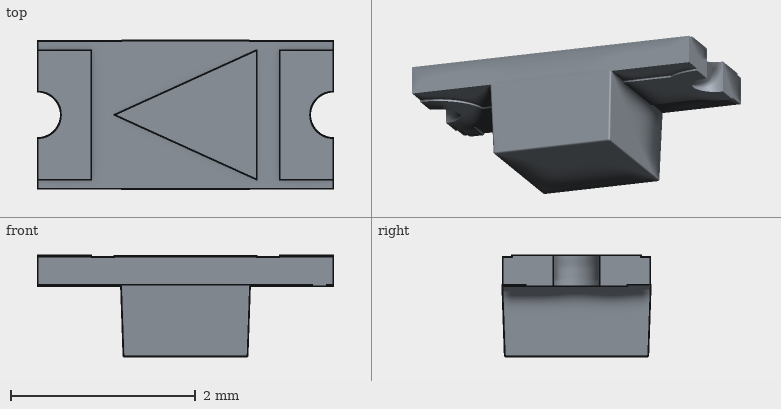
import cadquery as cq
import math

board_length = 3.2
board_width = 1.6
board_thickness = 0.3

copper_thickness = 0.02
notch_radius = 0.25
top_pad_length = 0.58
top_pad_width = 1.4
bottom_pad_radius = 0.55
left_trace_width = 0.85
right_trace_width = 0.15
edge_trace_width = 0.16
edge_trace_inset = 0.07

arrow_thickness = 0.01
arrow_tip_x = -0.77
arrow_base_x = 0.77
arrow_base_width = 1.4

overall_height = 1.1
lens_length = 1.4
lens_width = 1.61
lens_height = overall_height - board_thickness - copper_thickness
lens_draft = 2.0
lens_edge_radius = 0.02

left_end = -board_length / 2
right_end = board_length / 2
front_edge = -board_width / 2


def block(x_min, x_max, y_min, y_max, z_min, height):
    return (
        cq.Workplane("XY", origin=(x_min, y_min, z_min))
        .box(x_max - x_min, y_max - y_min, height, centered=False)
    )


def trace(x_min, x_max, width):
    """Copper strip on the underside, centred on Y."""
    return block(x_min, x_max, -width / 2, width / 2, -copper_thickness, copper_thickness)


def make_board():
    return block(left_end, right_end, front_edge, -front_edge, 0, board_thickness)


def make_top_pad(end_x):
    inner_x = end_x - math.copysign(top_pad_length, end_x)
    return block(
        min(end_x, inner_x), max(end_x, inner_x),
        -top_pad_width / 2, top_pad_width / 2,
        board_thickness, copper_thickness,
    )


def make_bottom_pad(end_x):
    """Half disc of copper around the end notch."""
    disc = (
        cq.Workplane("XY", origin=(end_x, 0, -copper_thickness))
        .circle(bottom_pad_radius)
        .extrude(copper_thickness)
    )
    return disc.intersect(trace(left_end, right_end, board_width))


def make_edge_trace():
    """Strip running from the right bottom pad out to the -Y edge of the board."""
    x_max = right_end - edge_trace_inset
    x_min = x_max - edge_trace_width
    return block(x_min, x_max, front_edge, -notch_radius, -copper_thickness, copper_thickness)


def make_arrow():
    half_base = arrow_base_width / 2
    return (
        cq.Workplane("XY", origin=(0, 0, board_thickness))
        .polyline([(arrow_tip_x, 0), (arrow_base_x, -half_base), (arrow_base_x, half_base)])
        .close()
        .extrude(arrow_thickness)
    )


def make_lens():
    """Tapered block with rounded corners and a rounded lower rim."""
    lens = cq.Workplane("XY").rect(lens_length, lens_width).extrude(-lens_height, taper=lens_draft)
    draft_corners = lens.edges("not #Z")
    lens = draft_corners.fillet(lens_edge_radius)
    return lens.faces("<Z").edges().fillet(lens_edge_radius)


def make_notch(end_x):
    """Cutter for the half-round notch in the end of the board and its pads."""
    return (
        cq.Workplane("XY", origin=(end_x, 0, -copper_thickness))
        .circle(notch_radius)
        .extrude(board_thickness + 2 * copper_thickness)
    )


result = make_board()
for end_x in (left_end, right_end):
    result = result.union(make_top_pad(end_x)).union(make_bottom_pad(end_x))

result = result.union(trace(left_end + notch_radius, 0, left_trace_width))
result = result.union(trace(0, right_end - notch_radius, right_trace_width))
result = result.union(make_edge_trace()).union(make_arrow()).union(make_lens())

for end_x in (left_end, right_end):
    result = result.cut(make_notch(end_x))